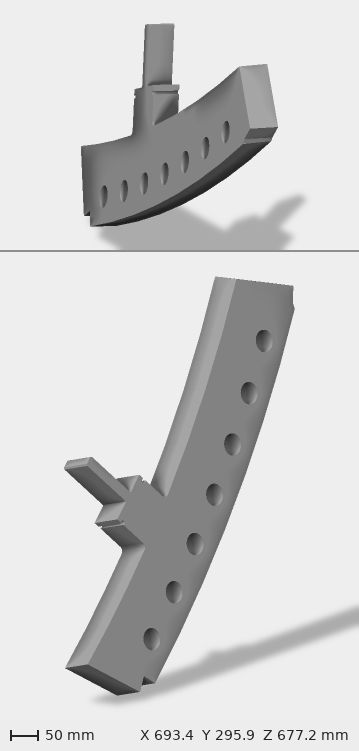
import cadquery as cq
import math

FRONT_CENTRE = (23.0, -77.0, -21.0)
NORMAL_AZIMUTH = 60.0
NORMAL_ELEVATION = -16.2
RING_TILT = 48.9
THICKNESS = 53.5

SIDE_LEAN = (6.0, -7.5)
UPPER_END_LEAN = (6.0, 5.5)

BORE_CIRCLE_RADIUS = 2772.0
INNER_RADIUS = BORE_CIRCLE_RADIUS - 100.5
OUTER_RADIUS = BORE_CIRCLE_RADIUS + 51.0
BORE_COUNT = 7
BORE_SPACING = 105.0
BORE_DIAMETER = 41.5
BLANK_HALF_ANGLE = math.radians(11.0)

LOWER_END = [(137.0, -434.5), (1.0, -417.0), (5.0, -386.0), (-20.0, -384.5)]
UPPER_END = [(129.0, 384.5), (0.0, 442.0), (-14.0, 412.5), (-21.5, 406.0)]
END_MARGIN = 138.5
CUT_OVERRUN = 0.5

BLOCK_TOP = (184.0, -107.5)
BLOCK_TILT = math.radians(6.4)
BLOCK_HALF_WIDTH = 50.5
BLOCK_DEPTH = 104.0
TAB_HALF_WIDTH = 10.5
TAB_LENGTH = 116.5
TAB_CHAMFER = 3.0
TAB_ROOT_FILLET = 2.0
TAB_OVERLAP = 7.0
ROOT_FILLET = 10.0
GROOVE_RADIUS = 4.0
GROOVE_DEPTH = 3.0
GROOVE_DROP = 14.5


def plate_plane():
    """Plane of the front face, with its normal pointing to the back face."""
    azimuth = math.radians(NORMAL_AZIMUTH)
    elevation = math.radians(NORMAL_ELEVATION)
    tilt = math.radians(RING_TILT)
    normal = cq.Vector(
        math.cos(elevation) * math.cos(azimuth),
        math.cos(elevation) * math.sin(azimuth),
        math.sin(elevation),
    )
    level = cq.Vector(math.sin(azimuth), -math.cos(azimuth), 0)
    steepest = level.cross(normal)
    to_ring_centre = steepest * math.cos(tilt) - level * math.sin(tilt)
    return cq.Plane(FRONT_CENTRE, to_ring_centre, normal)


def lean_extrude(sketch, lean, extra=0.0):
    """Extrude a closed outline along a leaning direction, `extra` thicknesses past both faces."""
    step = cq.Vector(lean[0], lean[1], THICKNESS)
    solid = cq.Solid.extrudeLinear(sketch.val(), [], step * (1 + 2 * extra))
    return cq.Workplane(obj=solid.translate(step * -extra))


def ring_point(radius, angle):
    return (BORE_CIRCLE_RADIUS - radius * math.cos(angle), radius * math.sin(angle))


def block_point(along, across):
    """Point given along and across the block centreline, from the middle of the block top."""
    return (
        BLOCK_TOP[0] + along * math.cos(BLOCK_TILT) - across * math.sin(BLOCK_TILT),
        BLOCK_TOP[1] + along * math.sin(BLOCK_TILT) + across * math.cos(BLOCK_TILT),
    )


def ring_blank():
    half = BLANK_HALF_ANGLE
    outline = (
        cq.Workplane()
        .moveTo(*ring_point(INNER_RADIUS, -half))
        .threePointArc(ring_point(INNER_RADIUS, 0), ring_point(INNER_RADIUS, half))
        .lineTo(*ring_point(OUTER_RADIUS, half))
        .threePointArc(ring_point(OUTER_RADIUS, 0), ring_point(OUTER_RADIUS, -half))
        .close()
    )
    return lean_extrude(outline, SIDE_LEAN)


def block_bar(bottom, top, half_width):
    corners = [(bottom, -half_width), (top, -half_width), (top, half_width), (bottom, half_width)]
    outline = cq.Workplane().polyline([block_point(*corner) for corner in corners]).close()
    return lean_extrude(outline, SIDE_LEAN)


def edges_through(body, points):
    """Leaning edges of the body that start at the given front-face points."""
    middles = [cq.Vector(x + SIDE_LEAN[0] / 2, y + SIDE_LEAN[1] / 2, THICKNESS / 2) for x, y in points]
    return [min(body.edges().vals(), key=lambda edge: (edge.Center() - middle).Length) for middle in middles]


def block_root(side):
    """Where a block side meets the inner arc of the ring."""
    foot = block_point(0, side * BLOCK_HALF_WIDTH)
    from_centre = cq.Vector(foot[0] - BORE_CIRCLE_RADIUS, foot[1])
    direction = cq.Vector(math.cos(BLOCK_TILT), math.sin(BLOCK_TILT))
    half = from_centre.dot(direction)
    along = -half - math.sqrt(half**2 - from_centre.Length**2 + INNER_RADIUS**2)
    return block_point(along, side * BLOCK_HALF_WIDTH)


def end_cutter(corners, side, lean):
    """Everything beyond one end of the plate, including its notch."""
    inner, outer = corners[0], corners[1]
    reach = END_MARGIN / math.dist(inner, outer)
    past_inner = (
        inner[0] + (inner[0] - outer[0]) * reach,
        inner[1] + (inner[1] - outer[1]) * reach,
    )
    mouth = corners[-1]
    past_mouth = (mouth[0] - END_MARGIN, mouth[1])
    far_y = side * (abs(outer[1]) + END_MARGIN)
    outline = cq.Workplane().polyline(
        [past_inner, *corners[1:], past_mouth, (past_mouth[0], far_y), (past_inner[0], far_y)]
    )
    return lean_extrude(outline.close(), lean, extra=CUT_OVERRUN)


tab = block_bar(-TAB_OVERLAP, TAB_LENGTH, TAB_HALF_WIDTH)
tab_tips = [block_point(TAB_LENGTH, side * TAB_HALF_WIDTH) for side in (-1, 1)]
tab = tab.newObject(edges_through(tab, tab_tips)).chamfer(TAB_CHAMFER)

body = ring_blank().union(block_bar(-BLOCK_DEPTH, 0, BLOCK_HALF_WIDTH))
roots = [block_root(side) for side in (-1, 1)]
body = body.newObject(edges_through(body, roots)).fillet(ROOT_FILLET)
body = body.union(tab)
tab_roots = [block_point(0, side * TAB_HALF_WIDTH) for side in (-1, 1)]
body = body.newObject(edges_through(body, tab_roots)).fillet(TAB_ROOT_FILLET)

body = body.cut(end_cutter(LOWER_END, -1, SIDE_LEAN))
body = body.cut(end_cutter(UPPER_END, 1, UPPER_END_LEAN))

for side in (-1, 1):
    centre = block_point(-GROOVE_DROP, side * (BLOCK_HALF_WIDTH - GROOVE_DEPTH))
    groove = cq.Workplane().center(*centre).circle(GROOVE_RADIUS).wires()
    body = body.cut(lean_extrude(groove, SIDE_LEAN, extra=CUT_OVERRUN))

bore_pitch = BORE_SPACING / BORE_CIRCLE_RADIUS
bore_centres = [
    ring_point(BORE_CIRCLE_RADIUS, (index - (BORE_COUNT - 1) / 2) * bore_pitch) for index in range(BORE_COUNT)
]
bores = cq.Workplane().pushPoints(bore_centres).circle(BORE_DIAMETER / 2).extrude(THICKNESS)
body = body.cut(bores)

result = body.solids().val().moved(cq.Location(plate_plane()))